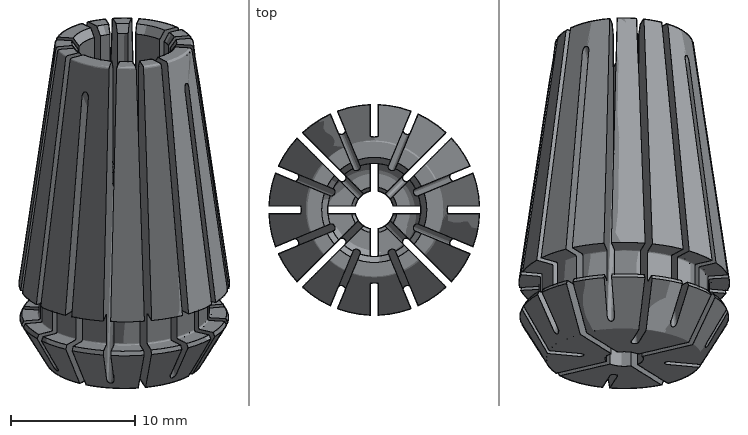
import cadquery as cq
import math

TOTAL_HEIGHT = 27.5
NOSE_HEIGHT = 4.02
BODY_BASE = 6.65

BODY_RADIUS = 8.5
BODY_TAPER = 8.0
TOP_ROUND = 0.22
NECK_RADIUS = 6.88
NECK_FILLET = 0.15
NOSE_RADIUS = 8.42
NOSE_TAPER = 30.0
NOSE_TIP_ROUND = 0.1
NOSE_BEVEL_WIDTH = 0.16
NOSE_BEVEL_HEIGHT = 0.33

GRIP_RADIUS = 1.55
GRIP_BEVEL = 0.3
BORE_RADIUS = 3.75
STEP_HEIGHT = 16.1
STEP_FILLET = 0.82
MOUTH_RADIUS = 4.24
MOUTH_DEPTH = 0.7

SLOT_WIDTH = 0.6
SLOT_REACH = 2 * TOTAL_HEIGHT
LONG_SLOT_COUNT = 4
LONG_SLOT_PITCH = 360 / LONG_SLOT_COUNT
SHORT_SLOT_COUNT = 2 * LONG_SLOT_COUNT
LOWER_SLOT_FLOOR = ((BORE_RADIUS, 21.5), (5.9, 25.22))
UPPER_SLOT_FLOOR = ((3.35, 0.0), (GRIP_RADIUS, 4.75))
SHORT_SLOT_FLOOR = ((6.63, 0.58), (BORE_RADIUS, 14.85))


def outer_body():
    """Tapered body, neck and flared nose, with the edges rounded."""
    top_radius = BODY_RADIUS - (TOTAL_HEIGHT - BODY_BASE) * math.tan(math.radians(BODY_TAPER))
    nose_rim = NOSE_HEIGHT - NOSE_BEVEL_HEIGHT
    nose_tip_radius = NOSE_RADIUS - nose_rim * math.tan(math.radians(NOSE_TAPER))
    outline = [
        (0, 0),
        (nose_tip_radius, 0),
        (NOSE_RADIUS, nose_rim),
        (NOSE_RADIUS - NOSE_BEVEL_WIDTH, NOSE_HEIGHT),
        (NECK_RADIUS, NOSE_HEIGHT),
        (NECK_RADIUS, BODY_BASE),
        (BODY_RADIUS, BODY_BASE),
        (top_radius, TOTAL_HEIGHT),
        (0, TOTAL_HEIGHT),
    ]
    body = cq.Workplane("XZ").polyline(outline).close().revolve(360, (0, 0), (0, 1))
    body = body.faces(">Z").edges().fillet(TOP_ROUND)
    body = body.faces("<Z").edges().fillet(NOSE_TIP_ROUND)
    margin = NECK_FILLET
    reach = NECK_RADIUS + margin
    neck_box = cq.selectors.BoxSelector(
        (-reach, -reach, NOSE_HEIGHT - margin),
        (reach, reach, BODY_BASE + margin),
        boundingbox=True,
    )
    return body.edges(neck_box).edges("%CIRCLE").fillet(NECK_FILLET)


def stepped_bore():
    """Narrow gripping bore opening through a filleted step into the wide bore."""
    fillet_start = BORE_RADIUS - STEP_FILLET
    bend = STEP_FILLET * math.sqrt(0.5)
    fillet_middle = (fillet_start + bend, STEP_HEIGHT + STEP_FILLET - bend)
    return (
        cq.Workplane("XZ")
        .lineTo(GRIP_RADIUS, 0)
        .lineTo(GRIP_RADIUS, STEP_HEIGHT - GRIP_BEVEL)
        .lineTo(GRIP_RADIUS + GRIP_BEVEL, STEP_HEIGHT)
        .lineTo(fillet_start, STEP_HEIGHT)
        .threePointArc(fillet_middle, (BORE_RADIUS, STEP_HEIGHT + STEP_FILLET))
        .lineTo(BORE_RADIUS, TOTAL_HEIGHT - MOUTH_DEPTH)
        .lineTo(MOUTH_RADIUS, TOTAL_HEIGHT)
        .lineTo(0, TOTAL_HEIGHT)
        .close()
        .revolve(360, (0, 0), (0, 1))
    )


def slot_cutter(floor):
    """Slot in the +X radial plane, open outwards from its sloped, half-round floor."""
    (start_radius, start_z), (end_radius, end_z) = floor
    run = end_radius - start_radius
    rise = end_z - start_z
    length = math.hypot(run, rise)
    outward = (rise / length, 0, -run / length)
    along = (run / length, 0, rise / length)
    plane = cq.Plane(origin=(start_radius, 0, start_z), xDir=outward, normal=along)
    round_center = SLOT_WIDTH / 2
    profile = (
        cq.Workplane(plane)
        .moveTo(SLOT_REACH, round_center)
        .lineTo(round_center, round_center)
        .threePointArc((0, 0), (round_center, -round_center))
        .lineTo(SLOT_REACH, -round_center)
        .close()
    )
    return profile.extrude(SLOT_REACH, both=True)


def cut_slots(body, floor, count, first_angle):
    """Cut equally spaced slots around the Z axis."""
    cutter = slot_cutter(floor)
    for index in range(count):
        angle = first_angle + index * 360 / count
        body = body.cut(cutter.rotate((0, 0, 0), (0, 0, 1), angle))
    return body


result = outer_body().cut(stepped_bore())
result = cut_slots(result, LOWER_SLOT_FLOOR, LONG_SLOT_COUNT, 0)
result = cut_slots(result, UPPER_SLOT_FLOOR, LONG_SLOT_COUNT, LONG_SLOT_PITCH / 2)
result = cut_slots(result, SHORT_SLOT_FLOOR, SHORT_SLOT_COUNT, LONG_SLOT_PITCH / 4)